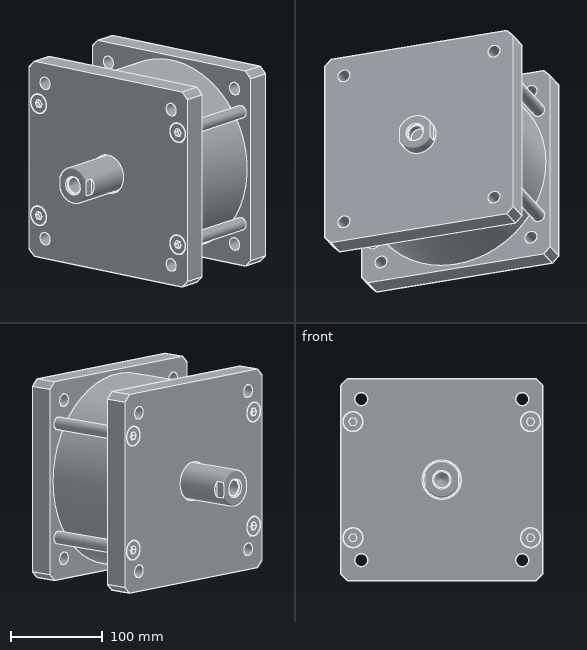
import cadquery as cq
import math

plate_side = 220.0
plate_thickness = 26.0
plate_turned_diameter = 300.7
plate_gap = 85.0

drum_diameter = 210.0

shaft_diameter = 40.0
shaft_length = 211.0
shaft_front_reach = 61.5
shaft_end_fillet = 2.0
shaft_bore_clearance_diameter = 43.0
flat_offset = 18.0
flat_length = 10.0
thread_diameter = 20.2
thread_depth = 3.0
drill_diameter = 17.4
drill_depth = 30.0
drill_tip_angle = 118.0

mount_hole_diameter = 13.9
mount_hole_offset = 87.5

rod_diameter = 14.0
rod_x = 96.5
rod_z = 63.1
head_diameter = 21.0
head_recess_diameter = 22.0
head_depth = 12.0
socket_across_flats = 8.0
socket_depth = 5.5

gap_front = -plate_gap / 2
gap_back = plate_gap / 2
front_face = gap_front - plate_thickness
shaft_front = front_face - shaft_front_reach
shaft_back = shaft_front + shaft_length


def plane_at(y):
    """XZ plane at the given Y whose normal points to +Y."""
    return cq.Plane(origin=(0, y, 0), xDir=(-1, 0, 0), normal=(0, 1, 0))


def cylinder(diameter, y_start, y_end, centers=((0, 0),)):
    """Cylinders along Y, one at each symmetric center."""
    return cq.Workplane(plane_at(y_start)).pushPoints(centers).circle(diameter / 2).extrude(y_end - y_start)


def four_corners(x, z):
    """The four points mirrored about both axes."""
    return [(side_x * x, side_z * z) for side_x in (-1, 1) for side_z in (-1, 1)]


def end_plate(y_start):
    """Square plate whose corners are turned to a common circle, with four mounting holes."""
    plate = cq.Workplane(plane_at(y_start)).rect(plate_side, plate_side).extrude(plate_thickness)
    plate = plate.intersect(cylinder(plate_turned_diameter, y_start, y_start + plate_thickness))
    holes = cylinder(
        mount_hole_diameter,
        y_start,
        y_start + plate_thickness,
        four_corners(mount_hole_offset, mount_hole_offset),
    )
    return plate.cut(holes)


def flat_cutters():
    """Tools at the front shaft end for a flat on each X side, run out by a 45 degree ramp."""
    radius = shaft_diameter / 2
    ramp = radius - flat_offset
    flat_end = shaft_front + flat_length
    profile = [
        (flat_offset, shaft_front),
        (flat_offset, flat_end),
        (radius, flat_end + ramp),
        (radius, shaft_front),
    ]
    cutter = cq.Workplane("XY").polyline(profile).close().extrude(radius, both=True)
    return cutter.union(cutter.mirror("YZ"))


def drill_cutter():
    """Tool at the front shaft end for a stepped hole with a conical bottom."""
    drill_radius = drill_diameter / 2
    thread_radius = thread_diameter / 2
    tip_length = drill_radius / math.tan(math.radians(drill_tip_angle / 2))
    profile = [
        (0, shaft_front),
        (thread_radius, shaft_front),
        (thread_radius, shaft_front + thread_depth),
        (drill_radius, shaft_front + thread_depth),
        (drill_radius, shaft_front + drill_depth),
        (0, shaft_front + drill_depth + tip_length),
    ]
    return cq.Workplane("XY").polyline(profile).close().revolve(360, (0, 0, 0), (0, 1, 0))


def shaft():
    """Shaft with the same flats and stepped hole at both ends."""
    body = cylinder(shaft_diameter, shaft_front, shaft_back)
    body = body.faces("<Y or >Y").edges().fillet(shaft_end_fillet)
    middle = (0, (shaft_front + shaft_back) / 2, 0)
    for cutter in (flat_cutters(), drill_cutter()):
        body = body.cut(cutter).cut(cutter.mirror("XZ", middle))
    return body


def tie_rods():
    """Rods spanning the plates, each with a hexagon socket in its head, flats at top and bottom."""
    centers = four_corners(rod_x, rod_z)
    rods = cylinder(rod_diameter, front_face + head_depth, gap_back, centers)
    heads = cylinder(head_diameter, front_face, front_face + head_depth, centers)
    sockets = (
        cq.Workplane(plane_at(front_face))
        .transformed(rotate=(0, 0, 90))
        .pushPoints(four_corners(rod_z, rod_x))
        .polygon(6, socket_across_flats, circumscribed=True)
        .extrude(socket_depth)
    )
    return rods.union(heads).cut(sockets)


def front_plate():
    """Front plate with a clearance bore for the shaft and recesses for the rod heads."""
    recesses = cylinder(
        head_recess_diameter, front_face, front_face + head_depth, four_corners(rod_x, rod_z)
    )
    shaft_bore = cylinder(shaft_bore_clearance_diameter, front_face, gap_front)
    return end_plate(front_face).cut(recesses).cut(shaft_bore)


drum = cylinder(drum_diameter, gap_front, gap_back)

result = front_plate().union(end_plate(gap_back)).union(drum).union(shaft()).union(tie_rods())